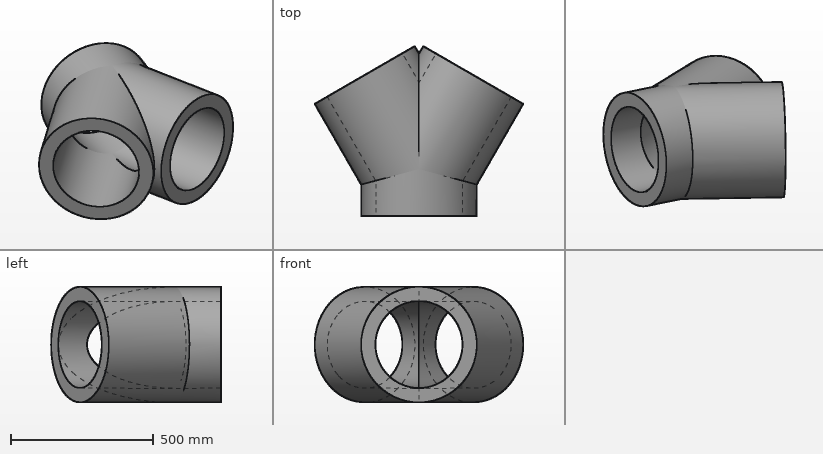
import cadquery as cq
import math

overall_width = 733.0
overall_depth = 596.5
outer_diameter = 406.0
bore_diameter = 305.0
branch_angle = 30.0

outer_radius = outer_diameter / 2
angle = math.radians(branch_angle)

branch_length = (overall_width / 2 - outer_radius * math.cos(angle)) / math.sin(angle)
branch_reach = branch_length * math.cos(angle) + outer_radius * math.sin(angle)
stem_length = overall_depth - branch_reach


def rod(diameter, length, degrees_from_y):
    """Cylinder from the junction point, turned clockwise from +Y in the XY plane."""
    turn = math.radians(degrees_from_y)
    direction = cq.Vector(math.sin(turn), math.cos(turn), 0)
    solid = cq.Solid.makeCylinder(diameter / 2, length, cq.Vector(0, 0, 0), direction)
    return cq.Workplane(obj=solid)


def junction(diameter):
    """Stem and both branches of one diameter, meeting at the junction point."""
    body = rod(diameter, stem_length, 180)
    for degrees in (-branch_angle, branch_angle):
        body = body.union(rod(diameter, branch_length, degrees))
    return body


result = junction(outer_diameter).cut(junction(bore_diameter))